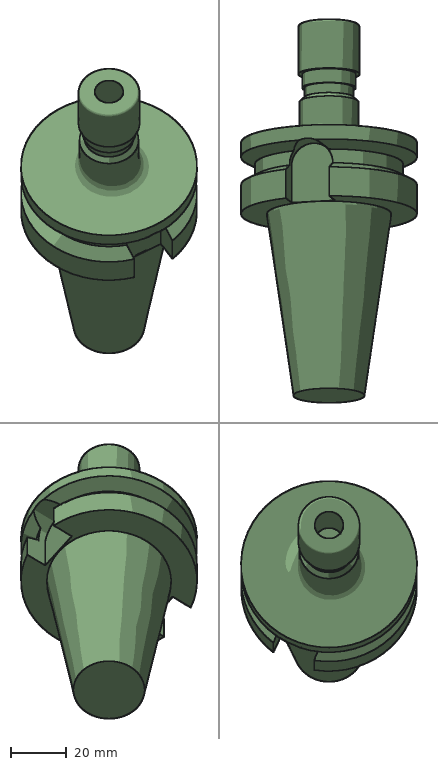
import cadquery as cq
import math

total_height = 135.4
taper_length = 65.4
flange_bottom = 66.3
groove_lower_edge = 76.9
groove_upper_edge = 87.0
groove_flank_height = 2.6
flange_top = 92.3
shank_shoulder = 107.2
neck_bottom = 108.9
neck_top = 112.4
head_bottom = 117.4

taper_small_radius = 12.7
taper_large_radius = 22.2
flange_radius = 63.0 / 2
groove_radius = 26.5
shank_radius = 10.5
neck_radius = 8.8
collar_radius = 9.6
head_radius = 11.0
head_rounding = 1.0
shank_fillet = 5.0

slot_width = 16.0
slot_floor_distance = 22.5
slot_top = 87.6

bore_diameter = 10.2
bore_depth = total_height - head_bottom


def arc_midpoint(center_radius, center_height, arc_radius, angle_degrees):
    """Point on a profile arc at the given angle."""
    angle = math.radians(angle_degrees)
    return (
        center_radius + arc_radius * math.cos(angle),
        center_height + arc_radius * math.sin(angle),
    )


def make_body():
    """Taper, grooved flange, shank and head, revolved about Z."""
    fillet_outer_radius = shank_radius + shank_fillet
    fillet_top = flange_top + shank_fillet
    head_face_radius = head_radius - head_rounding
    head_rounding_start = total_height - head_rounding
    profile = (
        cq.Workplane("XZ")
        .lineTo(taper_small_radius, 0)
        .lineTo(taper_large_radius, taper_length)
        .lineTo(taper_large_radius, flange_bottom)
        .lineTo(flange_radius, flange_bottom)
        .lineTo(flange_radius, groove_lower_edge)
        .lineTo(groove_radius, groove_lower_edge + groove_flank_height)
        .lineTo(groove_radius, groove_upper_edge - groove_flank_height)
        .lineTo(flange_radius, groove_upper_edge)
        .lineTo(flange_radius, flange_top)
        .lineTo(fillet_outer_radius, flange_top)
        .threePointArc(
            arc_midpoint(fillet_outer_radius, fillet_top, shank_fillet, 225),
            (shank_radius, fillet_top),
        )
        .lineTo(shank_radius, shank_shoulder)
        .lineTo(neck_radius, neck_bottom)
        .lineTo(neck_radius, neck_top)
        .lineTo(collar_radius, neck_top)
        .lineTo(collar_radius, head_bottom)
        .lineTo(head_radius, head_bottom)
        .lineTo(head_radius, head_rounding_start)
        .threePointArc(
            arc_midpoint(head_face_radius, head_rounding_start, head_rounding, 45),
            (head_face_radius, total_height),
        )
        .lineTo(0, total_height)
        .close()
    )
    return profile.revolve(360, (0, 0, 0), (0, 1, 0))


def make_drive_slot(side):
    """Cutter for a round-topped slot on the +X (side=1) or -X (side=-1) rim."""
    half_width = slot_width / 2
    arc_height = slot_top - half_width
    return (
        cq.Workplane("YZ", origin=(side * slot_floor_distance, 0, 0))
        .moveTo(-half_width, flange_bottom)
        .lineTo(half_width, flange_bottom)
        .lineTo(half_width, arc_height)
        .threePointArc((0, slot_top), (-half_width, arc_height))
        .close()
        .extrude(side * flange_radius)
    )


result = make_body()
for side in (-1, 1):
    result = result.cut(make_drive_slot(side))
result = result.faces(">Z").workplane().hole(bore_diameter, bore_depth)